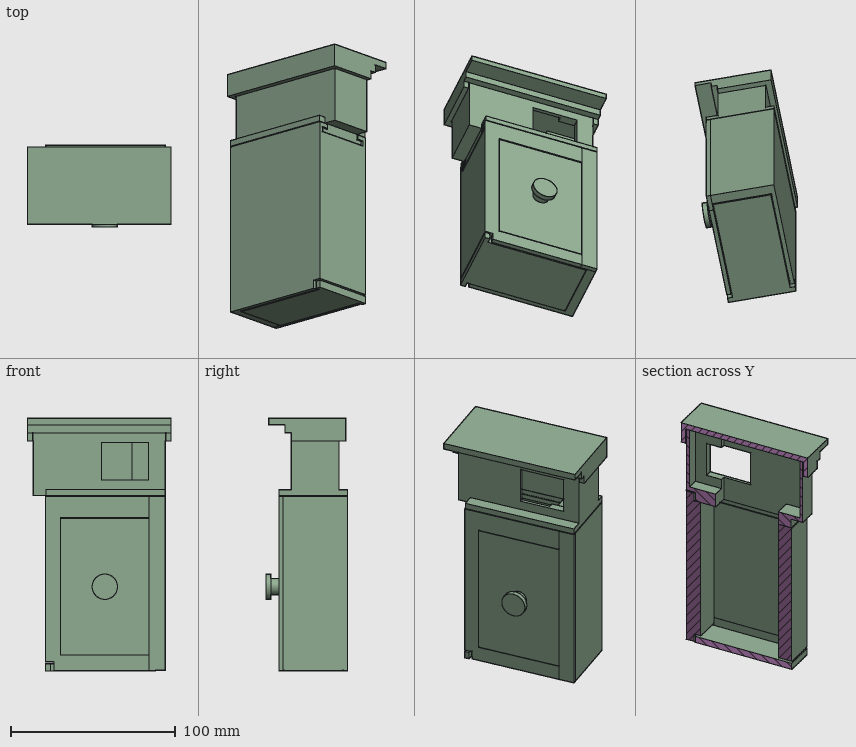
import cadquery as cq


overall_height = 153.8
clearance = 0.5
wall = 2.6

roof_width = 87.5
roof_back_y = -1.0
slab_thickness = 4.0
eave_overhang = 10.0
front_rim_depth = 3.7
front_rim_drop = 8.9
skirt_drop = 14.0
skirt_thickness = 3.0

head_left = skirt_thickness + clearance
head_right = roof_width - head_left
head_back_y = -5.2
head_depth = 29.2
head_front_y = head_back_y - head_depth
head_top = overall_height - slab_thickness
head_wall = 2.0
head_floor = 3.0

window_width = 28.8
window_height = 22.6
window_bottom = 116.3
window_right = head_right - 10.2

pocket_left = head_right - 20.5
pocket_right_wall = 2.5
pocket_step = 2.9
chamber_back_wall = 2.3

case_left = 11.0
case_right = head_right
case_depth = 41.8
case_bottom = 0.5
case_top = 106.3
frame_left = 9.2
opening_left = case_left + frame_left
opening_bottom = 9.8
opening_top = 93.4

slot_end_wall = 5.7
slot_right = case_right - slot_end_wall
tongue_right = slot_right - clearance

slot_depth = 5.7
slot_floor = case_top - slot_depth
slot_back_y = -wall
slot_front_y = -(case_depth - wall)
stem_back_y = -7.2
tongue_back_y = slot_back_y - clearance
tongue_front_y = -38.1
tongue_thickness = 2.6
flange_thickness = 3.7
flange_bottom = case_top + clearance
flange_left = case_left + clearance
head_bottom = flange_bottom

base_thickness = 4.6
base_end_width = 3.0
base_notch_width = 5.0
base_slot_top = 5.7

door_end_width = 10.0
door_end_left = case_right - door_end_width
door_recess = 0.3
door_front_y = -case_depth + door_recess
door_top = opening_top - clearance
knob_stem_diameter = 10.0
knob_head_diameter = 15.4
knob_head_thickness = 3.0
knob_projection = 8.0


def block(x_min, x_max, y_front, y_back, z_min, z_max):
    """Rectangular block between the given limits."""
    size = (x_max - x_min, y_back - y_front, z_max - z_min)
    return cq.Workplane("XY").box(*size, centered=False).translate((x_min, y_front, z_min))


def make_roof():
    """Slab with a skirt that fits over the head on the sides and back, and a short front rim."""
    slab_bottom = overall_height - slab_thickness
    rim_front_y = head_front_y - front_rim_depth
    eave_y = rim_front_y - eave_overhang
    slab = block(0, roof_width, eave_y, roof_back_y, slab_bottom, overall_height)
    rim = block(0, roof_width, rim_front_y, head_front_y, overall_height - front_rim_drop, slab_bottom)
    skirt = block(0, roof_width, head_front_y, roof_back_y, overall_height - skirt_drop, slab_bottom)
    head_recess = block(
        skirt_thickness, roof_width - skirt_thickness,
        head_front_y, head_back_y + clearance,
        overall_height - skirt_drop, slab_bottom,
    )
    return slab.union(rim).union(skirt.cut(head_recess))


def make_head():
    """Hollow block with a window, standing on a flange and a T-shaped sliding tongue."""
    shell = block(head_left, head_right, head_front_y, head_back_y, head_bottom, head_top)
    flange = block(flange_left, head_right, -case_depth, 0, flange_bottom, flange_bottom + flange_thickness)
    stem = block(flange_left, tongue_right, head_front_y, stem_back_y, slot_floor, flange_bottom)
    tongue = block(
        flange_left, tongue_right, tongue_front_y, tongue_back_y,
        slot_floor, slot_floor + tongue_thickness,
    )
    body = shell.union(flange).union(stem).union(tongue)

    floor_z = head_bottom + head_floor
    chamber_front_y = head_front_y + head_wall
    chamber_back_y = head_back_y - chamber_back_wall
    chamber = block(
        head_left + head_wall, pocket_left, chamber_front_y, chamber_back_y, floor_z, head_top
    )
    pocket = block(
        pocket_left, head_right - pocket_right_wall,
        chamber_front_y + pocket_step, chamber_back_y - pocket_step,
        floor_z, head_top,
    )
    chute = block(opening_left, pocket_left, chamber_front_y, chamber_back_y, slot_floor, floor_z)
    window = block(
        window_right - window_width, window_right,
        head_front_y, chamber_front_y + pocket_step,
        window_bottom, window_bottom + window_height,
    )
    return body.cut(chamber).cut(pocket).cut(chute).cut(window)


def make_case():
    """Hollow box with a T-slot on top, a slot for the base slide and a front opening for the door."""
    body = block(case_left, case_right, -case_depth, 0, case_bottom, case_top)
    storage = block(
        opening_left, door_end_left, slot_front_y, slot_back_y, base_slot_top, slot_floor
    )

    lip_gap = block(
        case_left, slot_right, head_front_y - clearance, stem_back_y + clearance, slot_floor, case_top
    )
    tongue_slot = block(
        case_left, slot_right, slot_front_y, slot_back_y, slot_floor, case_top - wall
    )

    base_notch = block(
        case_left, case_left + base_notch_width, -case_depth, 0, case_bottom, base_slot_top
    )
    base_slot = block(
        case_left, slot_right, slot_front_y, slot_back_y, case_bottom, base_slot_top
    )

    door_opening = block(
        opening_left, door_end_left, -case_depth, slot_front_y, opening_bottom, opening_top
    )
    door_end_seat = block(
        door_end_left, case_right, -case_depth, slot_front_y, case_bottom, case_top
    )

    for cutter in (storage, lip_gap, tongue_slot, base_notch, base_slot, door_opening, door_end_seat):
        body = body.cut(cutter)
    return body


def make_base_slide():
    """Plate that closes the case from below, with a full-depth end plate on the left."""
    end_plate = block(case_left, case_left + base_end_width, -case_depth, 0, 0, base_thickness)
    plate = block(
        case_left, tongue_right,
        slot_front_y + clearance, slot_back_y - clearance,
        0, base_thickness,
    )
    return end_plate.union(plate)


def make_door():
    """Slightly recessed panel joined to a full-height end strip on the right."""
    panel = block(opening_left, door_end_left, door_front_y, slot_front_y, opening_bottom, door_top)
    end_strip = block(door_end_left, case_right, -case_depth, slot_front_y, case_bottom, case_top)
    return panel.union(end_strip)


def make_knob():
    """Round stem standing on the middle of the door panel, with a wider head."""
    center_x = (opening_left + door_end_left) / 2
    center_z = (opening_bottom + door_top) / 2
    stem_length = door_recess + knob_projection - knob_head_thickness
    door_face = cq.Workplane("XZ", origin=(center_x, door_front_y, center_z))
    stem = door_face.circle(knob_stem_diameter / 2).extrude(stem_length)
    head = (
        door_face.workplane(offset=stem_length)
        .circle(knob_head_diameter / 2)
        .extrude(knob_head_thickness)
    )
    return stem.union(head)


roof = make_roof()
head = make_head()
case = make_case()
base_slide = make_base_slide()
door = make_door()
knob = make_knob()

result = cq.Compound.makeCompound(
    [roof.val(), head.val(), case.val(), base_slide.val(), door.val(), knob.val()]
)